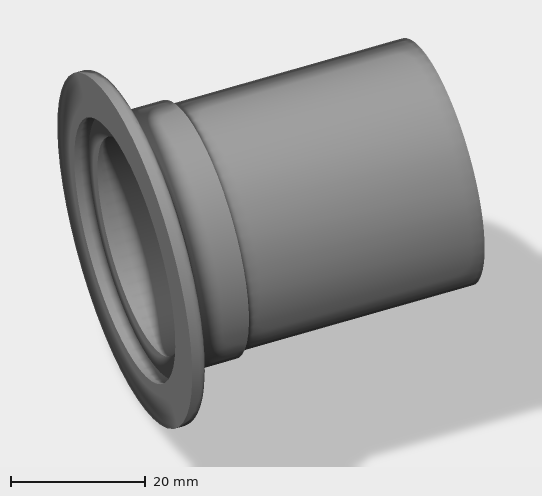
import cadquery as cq
import math

total_length = 50.0
tube_diameter = 38.2
bore_diameter = 34.0
collar_diameter = 40.0
collar_end = 12.0
flange_diameter = 55.0
clamp_angle = 15.0
rim_width = 2.1
rim_fillet = 1.0
root_fillet = 0.6
recess_diameter = 41.2
recess_depth = 2.3

tube_radius = tube_diameter / 2
bore_radius = bore_diameter / 2
collar_radius = collar_diameter / 2
flange_radius = flange_diameter / 2
recess_radius = recess_diameter / 2

flange_face = -total_length / 2
tube_end = flange_face + total_length
recess_floor = flange_face + recess_depth
collar_shoulder = flange_face + collar_end
rim_back = flange_face + rim_width
cone_height = (flange_radius - collar_radius) * math.tan(math.radians(clamp_angle))
cone_root = rim_back + cone_height


def turned_body():
    """Flange, collar, tube, bore and recess as one profile (Y along, Z radial) turned about Y."""
    profile = (
        cq.Workplane("YZ")
        .moveTo(recess_floor, bore_radius)
        .lineTo(recess_floor, recess_radius)
        .lineTo(flange_face, recess_radius)
        .lineTo(flange_face, flange_radius)
        .lineTo(rim_back, flange_radius)
        .lineTo(cone_root, collar_radius)
        .lineTo(collar_shoulder, collar_radius)
        .lineTo(collar_shoulder, tube_radius)
        .lineTo(tube_end, tube_radius)
        .lineTo(tube_end, bore_radius)
        .close()
    )
    return profile.revolve(360, (0, 0, 0), (1, 0, 0))


def circle_at(radius, y):
    """Selector for the circular edges at station y that fit within the given radius."""
    margin = 0.05
    reach = radius + margin
    return cq.selectors.BoxSelector(
        (-reach, y - margin, -reach),
        (reach, y + margin, reach),
        boundingbox=True,
    )


def round_flange_back(body):
    """Round the rim's rear edge and the corner between the conical back and the collar."""
    body = body.edges(circle_at(flange_radius, rim_back)).fillet(rim_fillet)
    return body.edges(circle_at(collar_radius, cone_root)).fillet(root_fillet)


result = round_flange_back(turned_body())